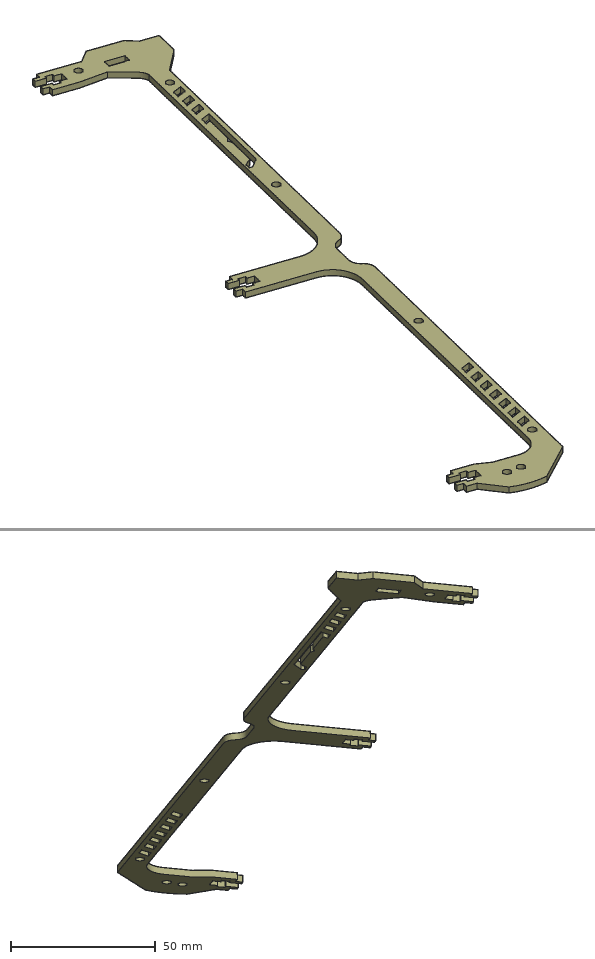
import cadquery as cq

length = 324.0
height = 57.5
thickness = 2.5
bar_top = 50.0
bar_bottom = 42.0
bar_middle = (bar_top + bar_bottom) / 2

foot_width = 11.5
tab_length = 2.5
tabs_span = 7.5
screw_slot_width = 4.0
screw_slot_depth = 7.8
nut_width = 6.0
nut_height = 3.0
nut_offset = 2.0
outer_foot_y = 8.0
middle_foot_y = tab_length
left_foot_x = 11.0
middle_foot_x = 160.3
right_foot_x = 309.5
feet = [
    (left_foot_x, outer_foot_y),
    (middle_foot_x, middle_foot_y),
    (right_foot_x, outer_foot_y),
]

head_top_left = 3.0
head_top_right = 13.5
head_bar_x = 24.5
head_side_top = 45.3
head_side_bottom = 30.5
head_leg_top = 26.0
head_taper_bottom = 18.8
head_inner_x = 15.5
head_fillet_start = (20.7, 39.5)
head_fillet_end_x = 24.0

leg_fillet = 11.5
dip_floor = 44.0
dip_floor_half = 4.2
dip_half = 13.0

hook_inner_x = 305.7
hook_fillet = 8.0
hook_taper_top = 23.5
hook_taper_bottom = 17.5
hook_top_x = 308.3
hook_bulge_x = 323.0
hook_bulge_top = 35.5
hook_bulge_bottom = 20.7
hook_leg_y = 12.3

screw_hole = 3.2
screw_hole_places = [
    (10.0, 22.0),
    (32.0, bar_middle),
    (108.8, bar_middle),
    (211.5, bar_middle),
    (293.5, bar_middle),
    (313.0, 30.8),
    (313.8, 25.0),
]

opening_width = 3.2
opening_height = 4.0
opening_lean = 2.0
opening_rows = [(39.0, 52.0, 3), (246.8, 287.0, 7)]

window_x = 10.7
window_bottom = 32.7
window_width = 3.2
window_height = 8.0

slot_top = bar_middle + opening_height / 2
slot_bottom = bar_middle
slot_left = 56.7
slot_right = 90.7
left_arm_bottom = bar_middle - opening_height / 2
right_arm_bottom = 43.0
right_arm_reach = 4.0
right_arm_side_top = 44.5
right_arm_width = 2.3
right_arm_start = 89.7
notch_x = 75.5
notch_half = 1.5
notch_bottom = 45.0


def block(center, bottom, width, tall):
    """Plate-thick rectangle standing on the given Y."""
    body = cq.Workplane("XY").box(width, tall, thickness, centered=(True, False, False))
    return body.translate((center, bottom, 0))


def foot_sides(center):
    return center - foot_width / 2, center + foot_width / 2


def plate():
    """Outer outline without the foot tabs, counter-clockwise from the left foot."""
    left_a, left_b = foot_sides(left_foot_x)
    middle_a, middle_b = foot_sides(middle_foot_x)
    right_a, right_b = foot_sides(right_foot_x)
    fillet_bottom = bar_bottom - leg_fillet
    bulge_middle = (hook_bulge_top + hook_bulge_bottom) / 2
    dip_slope_half = (dip_half + dip_floor_half) / 2
    dip_slope_y = (bar_top + dip_floor) / 2
    return (
        cq.Workplane("XY")
        .moveTo(left_a, outer_foot_y)
        .lineTo(left_b, outer_foot_y)
        .lineTo(left_b, head_taper_bottom)
        .lineTo(head_inner_x, head_side_bottom)
        .lineTo(*head_fillet_start)
        .tangentArcPoint((head_fillet_end_x, bar_bottom), relative=False)
        .lineTo(middle_a - leg_fillet, bar_bottom)
        .tangentArcPoint((middle_a, fillet_bottom), relative=False)
        .lineTo(middle_a, middle_foot_y)
        .lineTo(middle_b, middle_foot_y)
        .lineTo(middle_b, fillet_bottom)
        .tangentArcPoint((middle_b + leg_fillet, bar_bottom), relative=False)
        .lineTo(hook_inner_x - hook_fillet, bar_bottom)
        .tangentArcPoint((hook_inner_x, bar_bottom - hook_fillet), relative=False)
        .lineTo(hook_inner_x, hook_taper_top)
        .lineTo(right_a, hook_taper_bottom)
        .lineTo(right_a, outer_foot_y)
        .lineTo(right_b, outer_foot_y)
        .lineTo(right_b, hook_leg_y)
        .lineTo(hook_bulge_x, hook_bulge_bottom)
        .threePointArc((length, bulge_middle), (hook_bulge_x, hook_bulge_top))
        .lineTo(hook_top_x, bar_top)
        .lineTo(middle_foot_x + dip_half, bar_top)
        .tangentArcPoint((middle_foot_x + dip_slope_half, dip_slope_y), relative=False)
        .tangentArcPoint((middle_foot_x + dip_floor_half, dip_floor), relative=False)
        .lineTo(middle_foot_x - dip_floor_half, dip_floor)
        .tangentArcPoint((middle_foot_x - dip_slope_half, dip_slope_y), relative=False)
        .tangentArcPoint((middle_foot_x - dip_half, bar_top), relative=False)
        .lineTo(head_bar_x, bar_top)
        .lineTo(head_top_right, height)
        .lineTo(head_top_left, height)
        .lineTo(head_top_left, bar_top)
        .lineTo(0, head_side_top)
        .lineTo(0, head_side_bottom)
        .lineTo(left_a, head_leg_top)
        .close()
        .extrude(thickness)
    )


def tabs(center, shoulder):
    return block(center, shoulder - tab_length, tabs_span, tab_length)


def nut_slot(center, shoulder):
    screw = block(center, shoulder - tab_length, screw_slot_width, tab_length + screw_slot_depth)
    nut = block(center, shoulder + nut_offset, nut_width, nut_height)
    return screw.union(nut)


def screw_holes():
    return cq.Workplane("XY").pushPoints(screw_hole_places).circle(screw_hole / 2).extrude(thickness)


def leaning_opening(center):
    """Parallelogram whose top leans toward -X."""
    top = bar_middle + opening_height / 2
    bottom = bar_middle - opening_height / 2
    top_left = center - (opening_width + opening_lean) / 2
    bottom_left = top_left + opening_lean
    corners = [
        (top_left, top),
        (bottom_left, bottom),
        (bottom_left + opening_width, bottom),
        (top_left + opening_width, top),
    ]
    return cq.Workplane("XY").polyline(corners).close().extrude(thickness)


def long_slot():
    left_arm_inner = slot_left + opening_width + opening_lean
    right_arm_side = slot_right + right_arm_reach
    corners = [
        (slot_left, slot_top),
        (slot_left + opening_lean, left_arm_bottom),
        (left_arm_inner, left_arm_bottom),
        (left_arm_inner - opening_lean / 2, slot_bottom),
        (notch_x - notch_half, slot_bottom),
        (notch_x, notch_bottom),
        (notch_x + notch_half, slot_bottom),
        (right_arm_start, slot_bottom),
        (right_arm_side - right_arm_width, right_arm_bottom),
        (right_arm_side, right_arm_bottom),
        (right_arm_side, right_arm_side_top),
        (slot_right, slot_top),
    ]
    return cq.Workplane("XY").polyline(corners).close().extrude(thickness)


result = plate()
for foot_x, foot_y in feet:
    result = result.union(tabs(foot_x, foot_y))
    result = result.cut(nut_slot(foot_x, foot_y))

result = result.cut(screw_holes())
for first, last, count in opening_rows:
    pitch = (last - first) / (count - 1)
    for i in range(count):
        result = result.cut(leaning_opening(first + i * pitch))

result = result.cut(long_slot())
result = result.cut(block(window_x, window_bottom, window_width, window_height))